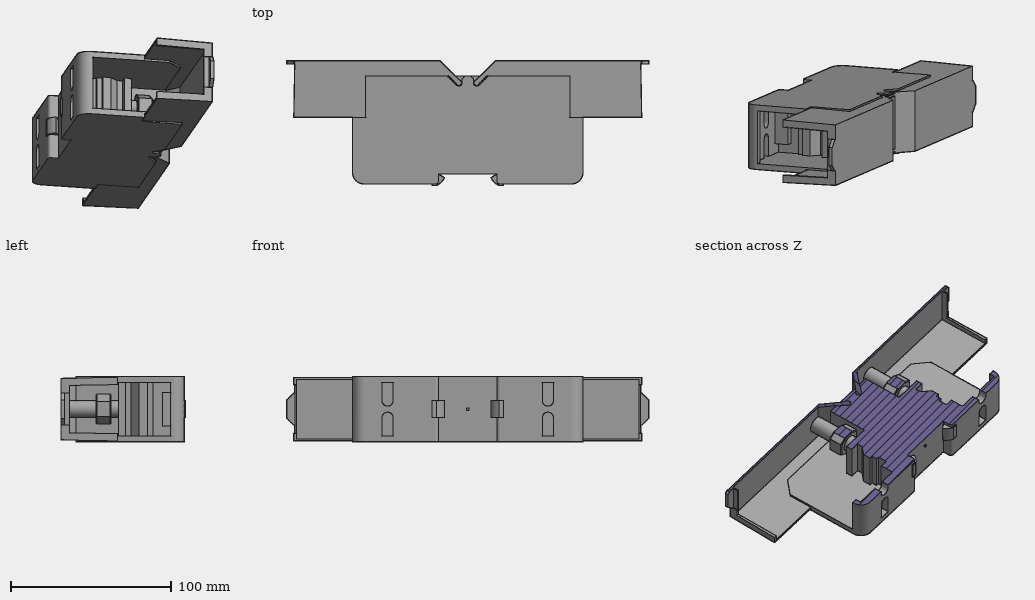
import cadquery as cq
import math

SIDES = (-1, 1)

housing_length = 144.0
housing_height = 41.0
housing_back_y = 67.5
housing_corner_radius = 7.5
inner_height = 33.5
front_wall = 5.0
end_wall = 3.75
end_opening_front_y = 8.5

seat_y = 41.6
skin_length = 127.4
liner_height = 36.0
liner_back_y = 66.5
liner_chamfer = 9.0

recess_length = 36.4
recess_depth = 6.3
recess_mouth_radius = 2.0
clip_width = 10.5
clip_proud = 0.85
clip_outer_x = 22.3
clip_fold_x = 19.5
clip_nose_x = 14.5
clip_nose_y = 4.1
clip_nose_bulge = 0.7
pin_hole_diameter = 1.7
pin_hole_depth = 0.5

slot_x = 50.0
slot_width = 7.0
slot_inner_z = 1.9

partition_half = 18.0
shelf_y = 41.0
shelf_x = 36.0
shelf_underside_y = 36.7
groove_x = 30.0
slope_top_y = 33.3
slope_bottom_y = 28.3
slope_foot_x = 35.0
step_top_y = 23.0
step_x = 33.0
step_bottom_y = 19.6
core_base_x = 31.0
boss_width = 21.0
boss_back_y = 13.7
boss_x = 36.0

stud_x = 27.0
stud_diameter = 10.5
stud_tip_y = 72.0
stud_root_y = 40.0
nut_front_y = 45.6
nut_height = 9.4
nut_corner_diameter = 18.8
nut_chamfer = 0.6

cover_back_y = 77.0
cover_length = 217.2
cover_height = 39.7
cover_draft = 1.0
cavity_length = 213.4
cavity_height = 37.0
cavity_back_y = 75.5
window_height = 30.6
window_back_y = 71.6
overall_length = 225.92
tab_reach = overall_length / 2
tab_thickness = 2.2
tab_root_half = 10.0
tab_tip_half = 5.7
tab_relief_x = 107.7

v_half_width = 17.2
arm_thickness = 3.0
bead_x = 5.6
bead_radius = 1.7
socket_radius = 2.1
socket_floor_height = 37.6
socket_mouth_inner_x = 1.7

cover_depth = cover_back_y - seat_y


def block(x0, x1, y0, y1, height):
    """Box between two X and two Y places, centred on Z = 0."""
    return cq.Workplane("XY").box(x1 - x0, y1 - y0, height).translate(
        ((x0 + x1) / 2, (y0 + y1) / 2, 0))


def wide_block(length, y0, y1, height):
    return block(-length / 2, length / 2, y0, y1, height)


def prism(points, height):
    """Closed XY polygon extruded symmetrically about Z = 0."""
    return cq.Workplane("XY").polyline(points).close().extrude(height / 2, both=True)


def y_plane(x, y):
    """Workplane facing +Y."""
    return cq.Workplane(cq.Plane(origin=(x, y, 0), xDir=(1, 0, 0), normal=(0, 1, 0)))


def mirrored(points, side):
    return [(side * x, y) for x, y in points]


def v_side_x(y):
    return v_half_width - (cover_back_y - y)


arm_width_x = arm_thickness * math.sqrt(2)
bead_y = bead_x - arm_width_x / 2 - v_half_width + cover_back_y


def hinge_arm(side):
    """45 degree strip along one side of the V, ending in a round bead."""
    half = arm_width_x / 4
    strip = [
        (v_half_width, cover_back_y),
        (bead_x - half, bead_y + half),
        (bead_x + half, bead_y - half),
        (v_half_width + arm_width_x, cover_back_y),
    ]
    bead = cq.Workplane("XY").center(side * bead_x, bead_y).circle(bead_radius)
    return prism(mirrored(strip, side), cover_height).union(
        bead.extrude(cover_height / 2, both=True))


def hinge_socket(side):
    """Round pockets with flared mouths in the top and bottom, open to the housing back."""
    diagonal = socket_radius / math.sqrt(2)
    mouth_outer_x = bead_x + diagonal + housing_back_y - (bead_y - diagonal)
    outer_tangent = (side * (bead_x + diagonal), bead_y - diagonal)
    inner_tangent = (side * (bead_x - socket_radius), bead_y)
    bottom = (side * bead_x, bead_y - socket_radius)
    flare_y = housing_back_y - (bead_x - socket_radius - socket_mouth_inner_x)
    profile = (cq.Workplane("XY")
               .moveTo(side * mouth_outer_x, housing_back_y)
               .lineTo(*outer_tangent)
               .threePointArc(bottom, inner_tangent)
               .lineTo(inner_tangent[0], flare_y)
               .lineTo(side * socket_mouth_inner_x, housing_back_y)
               .close())
    full_height = profile.extrude(housing_height / 2, both=True)
    return full_height.cut(wide_block(housing_length, 0, cover_back_y, socket_floor_height))


def drafted_block(length, height, depth):
    """Block from the cover's front edge backward, narrowing by the draft."""
    return y_plane(0, seat_y).rect(length, height).extrude(depth, taper=cover_draft)


def end_tab(side):
    """Flat tab on the back edge, tapering to its tip."""
    root_x = tab_reach - (tab_root_half - tab_tip_half)
    outline = [
        (side * cavity_length / 2, -tab_root_half),
        (side * root_x, -tab_root_half),
        (side * tab_reach, -tab_tip_half),
        (side * tab_reach, tab_tip_half),
        (side * root_x, tab_root_half),
        (side * cavity_length / 2, tab_root_half),
    ]
    return (y_plane(0, cover_back_y - tab_thickness)
            .polyline(outline).close().extrude(tab_thickness))


def make_cover():
    outer = drafted_block(cover_length, cover_height, cover_depth)
    cavity = wide_block(cavity_length, seat_y, cavity_back_y, cavity_height)
    window = (y_plane(0, seat_y).rect(cover_length * 2, window_height)
              .extrude(window_back_y - seat_y, taper=cover_draft))
    cover = outer.cut(cavity).cut(window)

    v_notch = prism([
        (-v_half_width, cover_back_y),
        (-v_side_x(housing_back_y), housing_back_y),
        (v_side_x(housing_back_y), housing_back_y),
        (v_half_width, cover_back_y),
    ], housing_height)
    cover = cover.cut(v_notch)
    for side in SIDES:
        cover = cover.cut(hinge_socket(side))
        cover = cover.union(hinge_arm(side).intersect(outer))

        relief_ends = sorted((side * tab_relief_x, side * tab_reach))
        cover = cover.cut(block(*relief_ends, window_back_y, cover_back_y - tab_thickness,
                                2 * tab_root_half))
        cover = cover.union(end_tab(side))
    return cover


def housing_shell():
    """Outer walls: full-height front, skins over the cover and liners inside it."""
    front = (wide_block(housing_length, 0, seat_y, housing_height)
             .edges("|Z and <Y").fillet(housing_corner_radius))
    skins = wide_block(skin_length, housing_corner_radius, housing_back_y, housing_height)
    skins = skins.cut(wide_block(housing_length, seat_y, housing_back_y, cavity_height))
    liner = (wide_block(housing_length, housing_corner_radius, liner_back_y, liner_height)
             .edges("|Z and >Y").chamfer(liner_chamfer))
    chamber = wide_block(housing_length - 2 * end_wall, front_wall, housing_back_y, inner_height)
    openings = wide_block(housing_length, end_opening_front_y, housing_back_y, inner_height)
    return front.union(skins).union(liner).cut(chamber).cut(openings)


def core():
    """Stepped block and partition separating the two chambers."""
    half_outline = [
        (core_base_x, 0),
        (core_base_x, step_bottom_y),
        (step_x, step_bottom_y),
        (step_x, step_top_y),
        (slope_foot_x, step_top_y),
        (slope_foot_x, slope_bottom_y),
        (groove_x, slope_top_y),
        (groove_x, shelf_underside_y),
        (shelf_x, shelf_underside_y),
        (shelf_x, shelf_y),
        (partition_half, shelf_y),
        (partition_half, housing_back_y),
    ]
    outline = half_outline + mirrored(reversed(half_outline), -1)
    boss = wide_block(2 * boss_x, front_wall / 2, boss_back_y, boss_width)
    return prism(outline, inner_height).union(boss)


def terminal_stud(side):
    stud = (y_plane(side * stud_x, stud_root_y).circle(stud_diameter / 2)
            .extrude(stud_tip_y - stud_root_y))
    nut = (y_plane(side * stud_x, nut_front_y).transformed(rotate=(0, 0, 90))
           .polygon(6, nut_corner_diameter).extrude(nut_height)
           .faces("<Y or >Y").chamfer(nut_chamfer))
    return stud.union(nut)


def rail_recess():
    """Shallow channel across the mounting face with rounded mouth edges."""
    half = recess_length / 2
    mouth = half + recess_mouth_radius
    diagonal = recess_mouth_radius * (1 - math.sqrt(0.5))
    return (cq.Workplane("XY")
            .moveTo(-mouth, 0)
            .threePointArc((-half - diagonal, diagonal), (-half, recess_mouth_radius))
            .lineTo(-half, recess_depth)
            .lineTo(half, recess_depth)
            .lineTo(half, recess_mouth_radius)
            .threePointArc((half + diagonal, diagonal), (mouth, 0))
            .close()
            .extrude(housing_height / 2, both=True))


def rail_clip(side):
    """Catch with a rounded nose reaching into the recess."""
    run = clip_fold_x - clip_nose_x
    rise = clip_nose_y + clip_proud
    chord = math.hypot(run, rise)
    nose_mid_x = (clip_fold_x + clip_nose_x) / 2 - clip_nose_bulge * rise / chord
    nose_mid_y = (clip_nose_y - clip_proud) / 2 - clip_nose_bulge * run / chord
    return (cq.Workplane("XY")
            .moveTo(side * clip_outer_x, recess_depth)
            .lineTo(side * clip_outer_x, -clip_proud)
            .lineTo(side * clip_fold_x, -clip_proud)
            .threePointArc((side * nose_mid_x, nose_mid_y), (side * clip_nose_x, clip_nose_y))
            .lineTo(side * recess_length / 2, recess_depth)
            .close()
            .extrude(clip_width / 2, both=True))


def mounting_slot(side, level):
    """Slot through the front wall, round toward mid-height and square at the outer wall."""
    radius = slot_width / 2
    arc_z = slot_inner_z + radius
    outer_z = inner_height / 2
    return (y_plane(side * slot_x, 0)
            .moveTo(-radius, level * outer_z)
            .lineTo(-radius, level * arc_z)
            .threePointArc((0, level * slot_inner_z), (radius, level * arc_z))
            .lineTo(radius, level * outer_z)
            .close()
            .extrude(front_wall))


def make_housing(cover):
    housing = housing_shell().union(core()).cut(rail_recess())
    housing = housing.cut(y_plane(0, recess_depth).circle(pin_hole_diameter / 2)
                          .extrude(pin_hole_depth))
    for side in SIDES:
        housing = housing.union(rail_clip(side)).union(terminal_stud(side))
        housing = housing.cut(hinge_socket(side))
        for level in SIDES:
            housing = housing.cut(mounting_slot(side, level))
    return housing.cut(cover)


cover = make_cover()
housing = make_housing(cover)
result = cq.Compound.makeCompound([housing.val(), cover.val()])